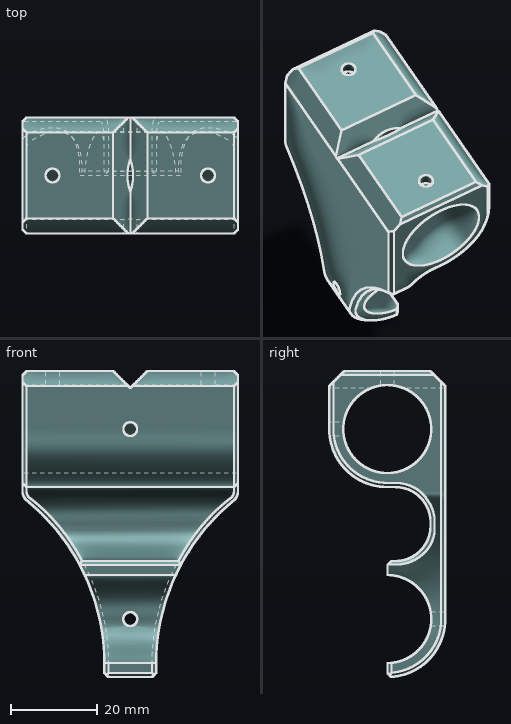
import cadquery as cq
import math

length = 50.0
bore_diameter = 20.4
depth = 27.0
height = 70.95
upper_flat = 1.0
edge_chamfer = 1.0
corner_chamfer = 3.55
notch_depth = 4.0
pin_diameter = 3.2
pin_spacing = 36.05
tip_width = 12.05
tip_straight = 3.25
back_web = 3.5
shoulder_radius = 2.7
waist_radius = 48.6

half_length = length / 2
half_tip = tip_width / 2
outer_radius = depth / 2
wall = outer_radius - bore_diameter / 2
lobe_rise = outer_radius - math.sqrt(outer_radius**2 - edge_chamfer**2)
bottom = outer_radius - height - lobe_rise
cradle_z = bottom + outer_radius
finger_top = cradle_z + outer_radius
upper_gap = -outer_radius - finger_top
upper_radius = (upper_gap - upper_flat) / 2
upper_back = outer_radius - back_web
upper_center_y = upper_back - upper_radius
waist_bottom = bottom + tip_straight
waist_center_x = half_tip + waist_radius
waist_top = waist_bottom + math.sqrt(waist_radius**2 - (waist_center_x - half_length) ** 2)


def side_profile():
    """Tube, upper opening and solid lower lobe, outlined in the YZ plane and extruded along X."""
    r = outer_radius
    diagonal = 0.5 ** 0.5
    return (
        cq.Workplane("YZ")
        .moveTo(-r, r)
        .lineTo(-r, 0)
        .threePointArc((-r * diagonal, -r * diagonal), (0, -r))
        .lineTo(upper_center_y, -r)
        .tangentArcPoint((upper_back, -r - upper_radius), relative=False)
        .lineTo(upper_back, finger_top + upper_radius)
        .tangentArcPoint((upper_center_y, finger_top), relative=False)
        .lineTo(0, finger_top)
        .lineTo(0, bottom)
        .threePointArc((r * diagonal, cradle_z - r * diagonal), (r, cradle_z))
        .lineTo(r, r)
        .close()
        .extrude(half_length, both=True)
    )


def front_profile():
    """Full-width tube drawn in by two concave arcs to the narrow hanger tip."""
    half_sweep = math.asin((waist_top - waist_bottom) / waist_radius) / 2
    middle_x = waist_center_x - waist_radius * math.cos(half_sweep)
    middle_z = waist_bottom + waist_radius * math.sin(half_sweep)
    plate = (
        cq.Workplane("XZ")
        .moveTo(-half_length, outer_radius)
        .lineTo(-half_length, waist_top)
        .threePointArc((-middle_x, middle_z), (-half_tip, waist_bottom))
        .lineTo(-half_tip, bottom)
        .lineTo(half_tip, bottom)
        .lineTo(half_tip, waist_bottom)
        .threePointArc((middle_x, middle_z), (half_length, waist_top))
        .lineTo(half_length, outer_radius)
        .close()
        .extrude(outer_radius, both=True)
    )
    reach = half_length + 0.7
    shoulders = cq.selectors.BoxSelector((-reach, -0.7, waist_top - 0.7), (reach, 0.7, waist_top + 0.7))
    return plate.edges("|Y").edges(shoulders).fillet(shoulder_radius)


def x_bore(z):
    radius = bore_diameter / 2
    return cq.Workplane("YZ").center(0, z).circle(radius).extrude(half_length, both=True)


def chamfer_rims(body):
    """Bevel the ends; each bevel runs on along the edges tangent to its starting edge."""
    rims = body.faces(">Z").edges("|Y")
    rims = rims.add(body.faces(">Y").edges("|Z"))
    rims = rims.add(body.faces("<Y").edges("|Z"))
    return rims.chamfer(edge_chamfer)


def chamfer_lip(body):
    """Bevel the upper lip of the finger between the tube and the cradle."""
    reach = half_length
    lip = cq.selectors.BoxSelector((-reach, -0.1, finger_top - 0.1), (reach, 0.1, finger_top + 0.1))
    return body.edges("|X").edges(lip).chamfer(edge_chamfer)


def tip_waste():
    """Oversize wedges that bevel the lower and side edges of the hanger tip's front face."""
    spare = 0.7
    reach = edge_chamfer + spare
    lower = (
        cq.Workplane("YZ")
        .polyline([(-spare, bottom + reach), (-spare, bottom - spare), (reach, bottom - spare)])
        .close()
        .extrude(half_tip + spare, both=True)
    )
    sides = cq.Workplane("XY", origin=(0, 0, bottom - spare))
    for side in (-1, 1):
        outer_x = side * (half_tip + spare)
        inner_x = side * (half_tip - reach)
        sides = sides.polyline([(inner_x, -spare), (outer_x, -spare), (outer_x, reach)]).close()
    return lower.union(sides.extrude(2 * wall))


def top_bevels():
    """Triangular bars removed from the two long top corners."""
    r = outer_radius
    bars = cq.Workplane("YZ")
    for side in (-1, 1):
        triangle = [(side * r, r), (side * (r - corner_chamfer), r), (side * r, r - corner_chamfer)]
        bars = bars.polyline(triangle).close()
    return bars.extrude(half_length, both=True)


def v_notch():
    triangle = [
        (-notch_depth, outer_radius),
        (notch_depth, outer_radius),
        (0, outer_radius - notch_depth),
    ]
    return cq.Workplane("XZ").polyline(triangle).close().extrude(outer_radius, both=True)


def pin_holes():
    """Two holes through the top wall, one through the front wall and one through the cradle."""
    radius = pin_diameter / 2
    top = cq.Workplane("XY").pushPoints([(-pin_spacing / 2, 0), (pin_spacing / 2, 0)])
    top = top.circle(radius).extrude(outer_radius)
    front = cq.Workplane("XZ").circle(radius).extrude(outer_radius)
    cradle = cq.Workplane("XZ").center(0, cradle_z).circle(radius).extrude(-outer_radius)
    return top.union(front).union(cradle)


body = side_profile().intersect(front_profile())
body = chamfer_rims(body)
body = chamfer_lip(body)
body = body.cut(tip_waste()).cut(x_bore(cradle_z))
body = body.cut(x_bore(0))
body = body.cut(top_bevels()).cut(v_notch()).cut(pin_holes())

result = body